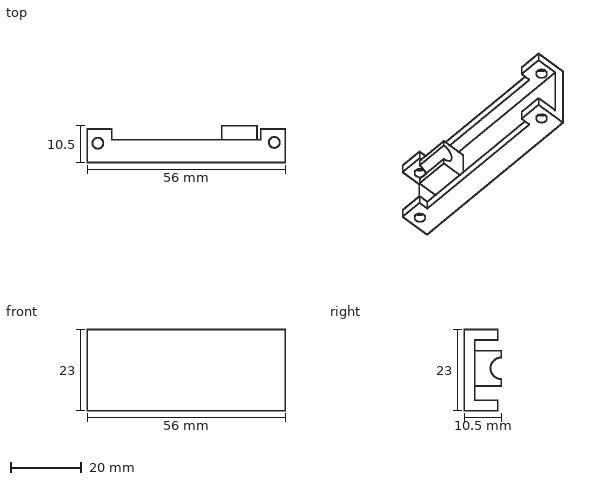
import cadquery as cq

length = 56.0
height = 23.0
wall = 3.0
ear_depth = 9.5
flange_depth = 6.5
ear_width = 7.0

hole_diameter = 3.0
left_hole = (3.0, 5.5)
right_hole = (length - 3.15, 5.7)

block_length = 10.0
block_height = 10.0
block_left = 37.95
block_bottom = 7.0
block_rear = 10.5
groove_radius = 3.0


def make_flange(bottom):
    """U-shaped flange with a deeper ear at each end."""
    outline = [
        (0, 0),
        (length, 0),
        (length, ear_depth),
        (length - ear_width, ear_depth),
        (length - ear_width, flange_depth),
        (ear_width, flange_depth),
        (ear_width, ear_depth),
        (0, ear_depth),
    ]
    return cq.Workplane("XY").workplane(offset=bottom).polyline(outline).close().extrude(wall)


def make_cradle():
    """Block with a half-round groove along X in its rear face."""
    block = cq.Workplane("XY").box(block_length, block_rear, block_height, centered=False)
    groove = (
        cq.Workplane("YZ")
        .center(block_rear, block_height / 2)
        .circle(groove_radius)
        .extrude(block_length)
    )
    return block.cut(groove).translate((block_left, 0, block_bottom))


plate = cq.Workplane("XY").box(length, wall, height, centered=False)
screw_holes = (
    cq.Workplane("XY")
    .pushPoints([left_hole, right_hole])
    .circle(hole_diameter / 2)
    .extrude(height)
)

channel = plate.union(make_flange(0)).union(make_flange(height - wall))
result = channel.cut(screw_holes).union(make_cradle())